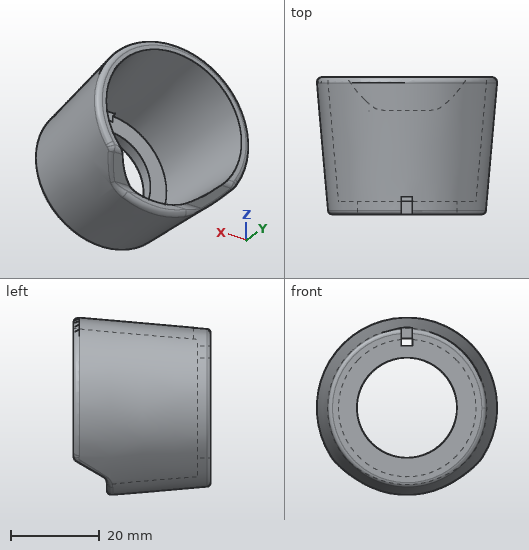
import cadquery as cq
import math

length = 31.0
front_radius = 17.75
taper = math.radians(5)
wall = 2.5
end_wall = 3.0
bore_radius = 11.25
front_rounding = 1.0
rear_rounding = 1.25

slot_width = 2.5
slot_depth = 4.0
slot_floor = 14.0

relief_depth = 7.5
relief_start = 11.7
relief_slope = math.radians(30)
inner_corner = 1.25
outer_corner = 1.6


def outer_radius(y):
    return front_radius + y * math.tan(taper)


def inner_radius(y):
    return outer_radius(y) - wall / math.cos(taper)


def make_sleeve():
    """Hollow cone, closed at the small end except for the round bore."""
    profile = [
        (bore_radius, 0),
        (outer_radius(0), 0),
        (outer_radius(length), length),
        (inner_radius(length), length),
        (inner_radius(end_wall), end_wall),
        (bore_radius, end_wall),
    ]
    return cq.Workplane("XY").polyline(profile).close().revolve(360, (0, 0, 0), (0, 1, 0))


def round_relief_corner(block, y, z, radius):
    """Round the X-direction edge of the block that passes through (y, z)."""
    edge = cq.selectors.NearestToPointSelector((0, y, z))
    return block.edges("|X").edges(edge).fillet(radius)


def cut_relief(body):
    """Keep only what lies inside a side outline that is stepped at the lower rear."""
    reach = 2 * front_radius
    step_y = length - relief_depth
    step_z = -relief_start - relief_depth * math.tan(relief_slope)
    outline = [
        (0, reach),
        (0, -reach),
        (step_y, -reach),
        (step_y, step_z),
        (length, -relief_start),
        (length, reach),
    ]
    block = cq.Workplane("YZ").polyline(outline).close().extrude(reach, both=True)
    block = round_relief_corner(block, step_y, step_z, inner_corner)
    block = round_relief_corner(block, length, -relief_start, outer_corner)
    return body.intersect(block)


def round_outer_rims(body):
    """Round both ends of the outer cone, following the relief at the large end."""
    outer_cone = max(body.faces("%CONE").vals(), key=lambda face: face.Area())
    rims = [edge for edge in outer_cone.Edges() if edge.geomType() != "LINE"]
    front_rim = [edge for edge in rims if edge.Center().y < end_wall]
    rear_rim = [edge for edge in rims if edge.Center().y > end_wall]
    body = body.newObject(rear_rim).fillet(rear_rounding)
    return body.newObject(front_rim).fillet(front_rounding)


def cut_key_slot(body):
    slot = cq.Workplane("XY").box(slot_width, slot_depth, front_radius, centered=(True, False, False))
    return body.cut(slot.translate((0, 0, slot_floor)))


sleeve = make_sleeve()
sleeve = cut_relief(sleeve)
sleeve = round_outer_rims(sleeve)
result = cut_key_slot(sleeve)